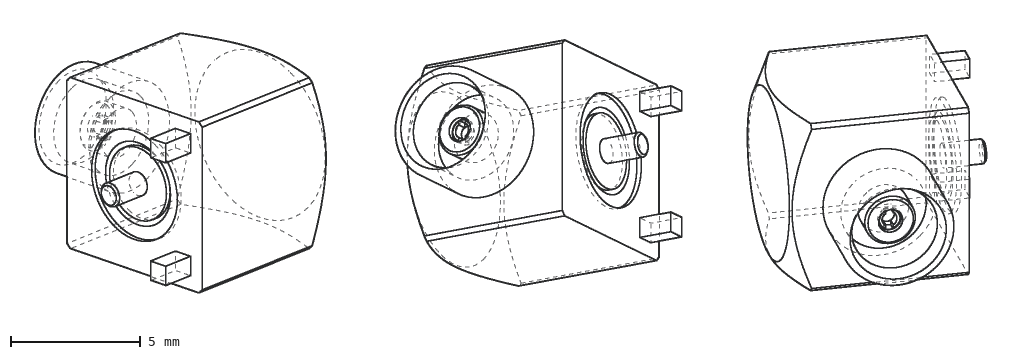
import cadquery as cq
import math

body_side = 7.1
half_side = body_side / 2
edge_chamfer = 0.17
back_cone_radius = 3.42
back_cone_angle = 30.0

barrel_length = 10.1 - body_side
barrel_radius = 2.25
barrel_fillet = 0.2
mouth_radius = 1.91
cavity_radius = 1.7
mouth_taper_length = 0.58
cavity_depth = 2.42

boss_radius = 1.0
boss_chamfer = 0.1
boss_setback = 1.22
boss_bore_radius = 0.47
boss_bore_depth = 1.01
socket_radius = boss_bore_radius
socket_chamfer = 0.06
socket_setback = 0.17
socket_bore_radius = 0.29
socket_bore_depth = 0.61
socket_tip_depth = 0.17
slot_width = 0.29
slot_length = 0.89
slot_depth = socket_bore_depth - socket_tip_depth

recess_radius = 2.25
recess_depth = 0.2
countersink_radius = 1.71
countersink_floor_radius = 1.49
countersink_depth = 0.2
pin_length = 1.45
pin_radius = 0.48
pin_chamfer = 0.09
leg_length = 1.4
leg_side = 0.8
leg_x = 2.55
leg_z = 2.55

barrel_end_x = -half_side - barrel_length
boss_face_x = barrel_end_x + boss_setback
socket_face_x = boss_face_x + socket_setback


def x_cylinder(start_x, length, radius):
    """Cylinder about the X axis, running toward +X from start_x."""
    return cq.Workplane("YZ", origin=(start_x, 0, 0)).circle(radius).extrude(length)


def y_cylinder(start_y, length, radius):
    """Cylinder about the Y axis, running toward +Y from start_y."""
    return cq.Workplane("XZ", origin=(0, start_y, 0)).circle(radius).extrude(-length)


def make_body():
    """Cube with chamfered Y edges, its back corners turned to a cone about Y."""
    cube = cq.Workplane("XY").box(body_side, body_side, body_side).edges("|Y").chamfer(edge_chamfer)
    outer_radius = body_side
    cone_depth = (outer_radius - back_cone_radius) * math.tan(math.radians(back_cone_angle))
    envelope = (
        cq.Workplane("XY")
        .moveTo(0, -half_side)
        .lineTo(outer_radius, -half_side)
        .lineTo(outer_radius, half_side - cone_depth)
        .lineTo(back_cone_radius, half_side)
        .lineTo(0, half_side)
        .close()
        .revolve(360, (0, 0, 0), (0, 1, 0))
    )
    return cube.intersect(envelope)


def make_barrel():
    barrel = x_cylinder(barrel_end_x, barrel_length, barrel_radius)
    return barrel.faces("<X").edges().fillet(barrel_fillet)


def make_barrel_cavity():
    """Tapered mouth followed by a straight bore."""
    taper_end_x = barrel_end_x + mouth_taper_length
    cavity_end_x = barrel_end_x + cavity_depth
    return (
        cq.Workplane("XY")
        .moveTo(barrel_end_x, 0)
        .lineTo(barrel_end_x, mouth_radius)
        .lineTo(taper_end_x, cavity_radius)
        .lineTo(cavity_end_x, cavity_radius)
        .lineTo(cavity_end_x, 0)
        .close()
        .revolve(360, (0, 0, 0), (1, 0, 0))
    )


def make_boss():
    boss = x_cylinder(boss_face_x, cavity_depth - boss_setback, boss_radius)
    boss = boss.faces("<X").edges().chamfer(boss_chamfer)
    return boss.cut(x_cylinder(boss_face_x, boss_bore_depth, boss_bore_radius))


def make_socket():
    """Sleeve with a cone-ended bore and a slot across its mouth along Z."""
    socket = x_cylinder(socket_face_x, boss_bore_depth - socket_setback, socket_radius)
    socket = socket.faces("<X").edges().chamfer(socket_chamfer)
    bore_end_x = socket_face_x + socket_bore_depth
    bore = (
        cq.Workplane("XY")
        .moveTo(socket_face_x, 0)
        .lineTo(socket_face_x, socket_bore_radius)
        .lineTo(bore_end_x - socket_tip_depth, socket_bore_radius)
        .lineTo(bore_end_x, 0)
        .close()
        .revolve(360, (0, 0, 0), (1, 0, 0))
    )
    slot = cq.Workplane("XY").box(slot_depth, slot_width, slot_length, centered=(False, True, True))
    slot = slot.translate((socket_face_x, 0, 0))
    return socket.cut(bore).cut(slot)


def make_front_recess():
    """Shallow round recess with a countersunk hole for the insulator plug, about the Y axis."""
    recess_y = -half_side + recess_depth
    floor_y = recess_y + countersink_depth
    return (
        cq.Workplane("XY")
        .moveTo(0, -half_side)
        .lineTo(recess_radius, -half_side)
        .lineTo(recess_radius, recess_y)
        .lineTo(countersink_radius, recess_y)
        .lineTo(countersink_floor_radius, floor_y)
        .lineTo(0, floor_y)
        .close()
        .revolve(360, (0, 0, 0), (0, 1, 0))
    )


def make_plug():
    """Insulator disc level with the recess floor, leaving a groove in the countersink."""
    return y_cylinder(-half_side + recess_depth, countersink_depth, countersink_floor_radius)


def make_pin():
    full_length = pin_length + recess_depth
    pin = y_cylinder(-half_side - pin_length, full_length, pin_radius)
    return pin.faces("<Y").edges().chamfer(pin_chamfer)


def make_legs():
    return (
        cq.Workplane("XZ", origin=(0, -half_side, 0))
        .pushPoints([(leg_x, -leg_z), (leg_x, leg_z)])
        .rect(leg_side, leg_side)
        .extrude(leg_length)
    )


result = make_body().union(make_barrel()).cut(make_barrel_cavity())
result = result.union(make_boss()).union(make_socket())
result = result.cut(make_front_recess()).union(make_plug())
result = result.union(make_pin()).union(make_legs())